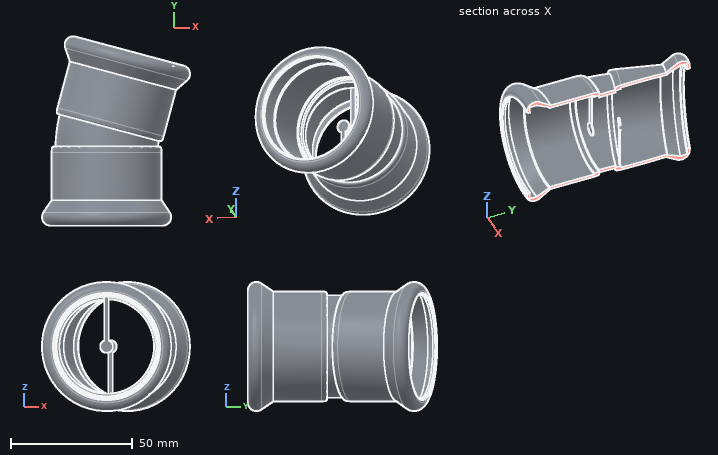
import cadquery as cq
import math

bend_angle = 15.0
leg_length = 36.6
socket_length = 32.7
neck_radius = 42.3 / 2
neck_bore_radius = 19.4

socket_radius = 45.4 / 2
bead_radius = 53.3 / 2
bead_round = 3.6
cone_end = 10.5
shoulder_length = 2.5
shoulder_drop = 1.25

socket_bore_radius = 42.3 / 2
stop_depth = socket_length - shoulder_length
recess_radius = 41.0 / 2
recess_end = 32.4
lip_radius = 43.3 / 2
lip_chamfer = 0.5
lip_end = 1.4
groove_radius = 24.4
groove_end = 4.3
seat_radius = 43.3 / 2
seat_depth = 9.8
bore_start = 10.15

disc_radius = 2.65
bar_width = 1.95
marker_thickness = 0.4

corner = (0, leg_length, 0)
bend_tangent = leg_length - stop_depth
bend_radius = bend_tangent / math.tan(math.radians(bend_angle / 2))

bead_center_radius = bead_radius - bead_round
to_cone_axial = cone_end - bead_round
to_cone_radial = socket_radius - bead_center_radius
tangent_angle = math.atan2(to_cone_radial, to_cone_axial) + math.acos(
    bead_round / math.hypot(to_cone_axial, to_cone_radial)
)


def bead_point(angle):
    """Radius and axial position on the bead round, angle measured from the socket axis."""
    return (
        bead_center_radius + bead_round * math.sin(angle),
        bead_round + bead_round * math.cos(angle),
    )


def revolve_profile(profile):
    return profile.close().revolve(360, (0, 0, 0), (0, 1, 0))


def socket_exterior():
    profile = (
        cq.Workplane("XY")
        .lineTo(bead_center_radius, 0)
        .threePointArc(bead_point((math.pi + tangent_angle) / 2), bead_point(tangent_angle))
        .lineTo(socket_radius, cone_end)
        .lineTo(socket_radius, stop_depth)
        .spline(
            [(socket_radius - shoulder_drop, socket_length)],
            tangents=[(0, 1), (-1, 0)],
            includeCurrent=True,
        )
        .lineTo(0, socket_length)
    )
    return revolve_profile(profile)


def socket_interior():
    profile = (
        cq.Workplane("XY")
        .lineTo(lip_radius + lip_chamfer, 0)
        .lineTo(lip_radius, lip_chamfer)
        .lineTo(lip_radius, lip_end)
        .lineTo(groove_radius, lip_end)
        .lineTo(groove_radius, groove_end)
        .lineTo(seat_radius, seat_depth)
        .lineTo(socket_bore_radius, bore_start)
        .lineTo(socket_bore_radius, stop_depth)
        .lineTo(recess_radius, stop_depth)
        .lineTo(recess_radius, recess_end)
        .lineTo(0, recess_end)
    )
    return revolve_profile(profile)


def bent_rod(radius):
    """Round bar following the bend, starting at the pipe stop of the first socket."""
    return (
        cq.Workplane("XZ", origin=(0, stop_depth, 0))
        .circle(radius)
        .revolve(bend_angle, (bend_radius, 0.8, 0), (bend_radius, 0, 0))
    )


def on_second_leg(body):
    """Mirror a first-leg body across the corner and tilt it by the bend angle."""
    up = (corner[0], corner[1], 1)
    return body.mirror("XZ", corner).rotate(corner, up, -bend_angle)


def make_housing():
    exterior = socket_exterior()
    interior = socket_interior()
    outer = exterior.union(bent_rod(neck_radius)).union(on_second_leg(exterior))
    return outer.cut(interior).cut(bent_rod(neck_bore_radius)).cut(on_second_leg(interior))


def make_marker(bar_direction):
    """Marker whose bar points up (+1) or down (-1), its face level with the pipe stop."""
    plane = cq.Workplane("XZ", origin=(0, stop_depth, 0))
    disc = plane.circle(disc_radius).extrude(-marker_thickness)
    bar = (
        plane.center(0, bar_direction * recess_radius / 2)
        .rect(bar_width, recess_radius)
        .extrude(-marker_thickness)
    )
    recess = plane.circle(recess_radius).extrude(-marker_thickness)
    return disc.union(bar).intersect(recess)


housing = make_housing()
first_marker = make_marker(1)
second_marker = on_second_leg(make_marker(-1))

result = cq.Compound.makeCompound([housing.val(), first_marker.val(), second_marker.val()])